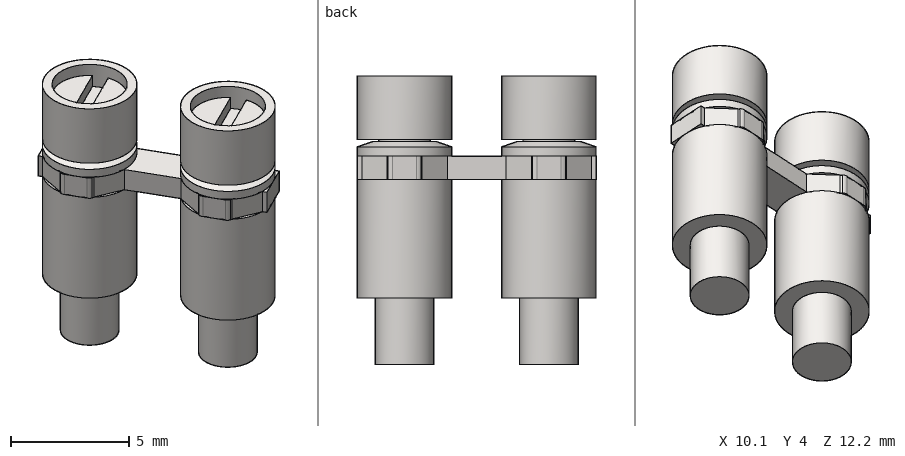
import cadquery as cq
import math

pitch = 6.1
body_radius = 2.0
axis_places = (-pitch / 2, pitch / 2)

barrel_bottom = 2.8
strap_bottom = 7.81
strap_top = 8.81
collar_top = 9.2
cone_top = 9.43
cap_bottom = 9.5
cap_top = 12.2

pin_radius = 1.25
groove_radius = pin_radius
cone_top_radius = 1.33

head_radius = 1.59
neck_radius = 1.1
head_recess = 0.55
slot_width = 0.7
slot_depth = 0.55
head_top = cap_top - head_recess

strap_thickness = strap_top - strap_bottom
bar_width = 1.79
bar_length = pitch + 2 * body_radius
lug_side_x = 1.8
lug_shoulder_x = 0.75
lug_shoulder_y = 1.84
lug_tip_half_width = 0.5
lug_round_radius = 0.3
lug_round_angle = math.radians(40)


def make_barrel(x):
    """Turned barrel: lower pin, body, groove for the strap, collar and conical top."""
    profile = [
        (0, 0),
        (pin_radius, 0),
        (pin_radius, barrel_bottom),
        (body_radius, barrel_bottom),
        (body_radius, strap_bottom),
        (groove_radius, strap_bottom),
        (groove_radius, strap_top),
        (body_radius, strap_top),
        (body_radius, collar_top),
        (cone_top_radius, cone_top),
        (0, cone_top),
    ]
    barrel = cq.Workplane("XZ").polyline(profile).close().revolve(360, (0, 0, 0), (0, 1, 0))
    return barrel.translate((x, 0, 0))


def make_cap(x):
    """Plain ring around the screw head."""
    return (
        cq.Workplane("XY", origin=(x, 0, cap_bottom))
        .circle(body_radius)
        .circle(head_radius)
        .extrude(cap_top - cap_bottom)
    )


def make_screw(x):
    """Slotted head on a short neck that stands on the barrel."""
    neck = cq.Workplane("XY", origin=(x, 0, cone_top)).circle(neck_radius).extrude(cap_bottom - cone_top)
    head = cq.Workplane("XY", origin=(x, 0, cap_bottom)).circle(head_radius).extrude(head_top - cap_bottom)
    slot = (
        cq.Workplane("XY", origin=(x, 0, head_top))
        .rect(slot_width, 2 * head_radius)
        .extrude(-slot_depth)
    )
    return neck.union(head).cut(slot)


def lug_round_point(angle):
    """Point on the left tip rounding, at an angle measured from the flat tip."""
    return (
        -lug_tip_half_width - lug_round_radius * math.sin(angle),
        body_radius - lug_round_radius * (1 - math.cos(angle)),
    )


def make_half_lug(x):
    """Lug on the +Y side of the strap: slanted sides and a flat tip with rounded ends."""
    round_start = lug_round_point(lug_round_angle)
    round_middle = lug_round_point(lug_round_angle / 2)
    return (
        cq.Workplane("XY", origin=(x, 0, strap_bottom))
        .moveTo(0, 0)
        .lineTo(-lug_side_x, 0)
        .lineTo(-lug_side_x, bar_width / 2)
        .lineTo(-lug_shoulder_x, lug_shoulder_y)
        .lineTo(*round_start)
        .threePointArc(round_middle, (-lug_tip_half_width, body_radius))
        .lineTo(0, body_radius)
        .mirrorY()
        .extrude(strap_thickness)
    )


def make_strap():
    """Flat bar with a pair of lugs and a hole around each barrel groove."""
    bar = cq.Workplane("XY", origin=(0, 0, strap_bottom)).rect(bar_length, bar_width).extrude(strap_thickness)
    for x in axis_places:
        lug = make_half_lug(x)
        bar = bar.union(lug).union(lug.mirror("XZ"))
    holes = (
        cq.Workplane("XY", origin=(0, 0, strap_bottom))
        .pushPoints([(x, 0) for x in axis_places])
        .circle(groove_radius)
        .extrude(strap_thickness)
    )
    return bar.cut(holes)


strap = make_strap()
barrels = [make_barrel(x) for x in axis_places]
caps = [make_cap(x) for x in axis_places]
screws = [make_screw(x) for x in axis_places]

result = cq.Compound.makeCompound([strap.val()] + [body.val() for body in barrels + caps + screws])